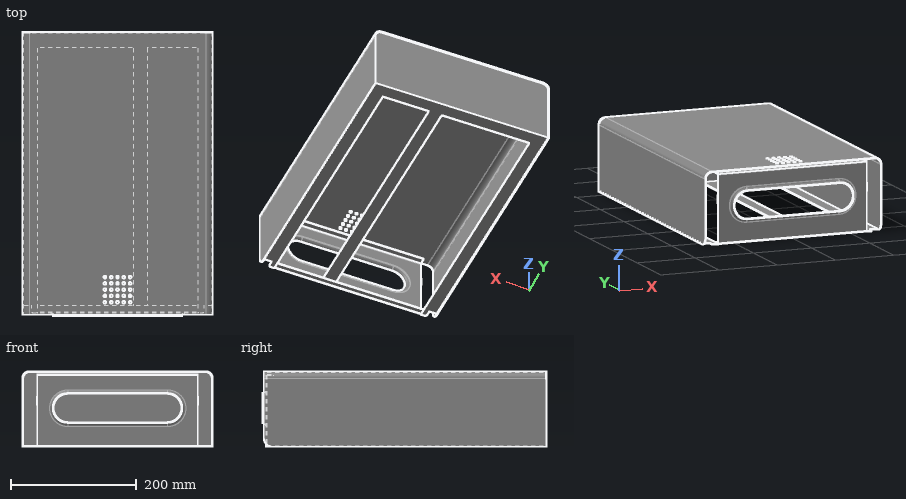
import cadquery as cq


sheet = 1.6
width = 303.2
depth = 450.0
height = 120.5
inner_bend = 10.0
outer_bend = inner_bend + sheet
floor_lip = 24.0
opening_width = width - 2 * floor_lip
wall_corner_radius = 14.0

finger_width = 10.0
finger_root = 15.0
finger_radius = 4.0

strip_left = 25.0
strip_right = 47.5

grille_count = 5
grille_pitch = 10.0
grille_hole = 4.0
grille_center_y = 40.0

slot_center_z = 61.85
slot_half_straight = 79.3
slot_half_height = 22.3
flare_back_radius = 6.8
flare_front_radius = flare_back_radius - sheet
flare_base_radius = slot_half_height + flare_back_radius
rim_overhang = 1.98

panel_front = flare_front_radius - rim_overhang
panel_top = 115.6
panel_bend = 2.0
panel_return = 12.0
panel_rear = panel_front + panel_return
tab_height = 12.8
tab_center_z = 73.2
tab_reach = 0.8
tab_setback = sheet / 2


def box(x0, x1, y0, y1, z0, z1):
    """A block given by its limits along X, Y and Z."""
    return cq.Workplane("XY").box(x1 - x0, y1 - y0, z1 - z0, centered=False).translate((x0, y0, z0))


def arched_block(block_width, top, bend, y0, y1):
    """A block along Y with its two long top edges rounded."""
    half = block_width / 2
    return box(-half, half, y0, y1, 0, top).edges("|Y and >Z").fillet(bend)


def lip_corner_trim():
    """Everything in front of the side lips and outside their rounded front fingers."""
    inner_half = width / 2 - sheet
    finger_half_span = opening_width / 2 + finger_width
    strip = box(-inner_half, inner_half, 0, finger_root, 0, sheet)
    kept = box(-finger_half_span, finger_half_span, panel_front, depth, 0, sheet)
    return strip.cut(kept.edges("|Z and <Y").fillet(finger_radius))


def wall_corner_trim():
    """Everything outside the rounded lower front corners of the side walls."""
    half = width / 2
    block = box(-half, half, 0, wall_corner_radius, 0, wall_corner_radius)
    kept = box(-half, half, 0, depth, 0, height).edges("|X and <Y and <Z").fillet(wall_corner_radius)
    between_walls = box(sheet - half, half - sheet, 0, depth, 0, height)
    return block.cut(kept).cut(between_walls)


def build_housing():
    half_opening = opening_width / 2
    shell = arched_block(width, height, outer_bend, 0, depth)
    cavity = arched_block(width - 2 * sheet, height - sheet, inner_bend, 0, depth - sheet)
    shell = shell.cut(cavity.intersect(box(-width, width, 0, depth, sheet, height)))
    shell = shell.cut(box(-half_opening, half_opening, 0, depth - floor_lip, 0, sheet))
    shell = shell.cut(lip_corner_trim()).cut(wall_corner_trim())
    shell = shell.union(box(strip_left, strip_right, panel_rear, depth - floor_lip, 0, sheet))

    holes = (
        cq.Workplane("XY", origin=(0, grille_center_y, height - sheet))
        .rarray(grille_pitch, grille_pitch, grille_count, grille_count)
        .circle(grille_hole / 2)
        .extrude(sheet)
    )
    return shell.cut(holes)


def flare_profile(plane):
    """Quarter-ring section of the slot rim: local x is outward from the slot axis, local y is +Y."""
    diagonal = 0.5 ** 0.5
    center_x = flare_base_radius
    center_y = panel_front - flare_front_radius

    def rim_point(radius, inward, back):
        return center_x - radius * inward, center_y + radius * back

    return (
        cq.Workplane(plane)
        .moveTo(*rim_point(flare_back_radius, 1, 0))
        .threePointArc(rim_point(flare_back_radius, diagonal, diagonal), rim_point(flare_back_radius, 0, 1))
        .lineTo(*rim_point(flare_front_radius, 0, 1))
        .threePointArc(rim_point(flare_front_radius, diagonal, diagonal), rim_point(flare_front_radius, 1, 0))
        .close()
    )


def build_slot_rim():
    """The flare swept round the slot: two straight runs and two half-round ends."""
    rim = None
    for side in (-1, 1):
        end_plane = cq.Plane(
            origin=(side * slot_half_straight, 0, slot_center_z), xDir=(0, 0, 1), normal=(-1, 0, 0)
        )
        end = flare_profile(end_plane).revolve(180, (0, 0, 0), (0, side, 0))
        run_plane = cq.Plane(
            origin=(side * slot_half_straight, 0, slot_center_z), xDir=(0, 0, side), normal=(-side, 0, 0)
        )
        run = flare_profile(run_plane).extrude(2 * slot_half_straight)
        rim = end.union(run) if rim is None else rim.union(end).union(run)
    return rim


def build_panel():
    half = opening_width / 2
    panel = box(-half, half, panel_front, panel_rear, 0, panel_top).edges("|X and <Y").fillet(panel_bend)
    inside = box(-half, half, panel_front + sheet, panel_rear, sheet, panel_top - sheet)
    panel = panel.cut(inside)

    tab_bottom = tab_center_z - tab_height / 2
    tabs = box(
        -half - tab_reach,
        half + tab_reach,
        panel_front + tab_setback,
        panel_front + sheet,
        tab_bottom,
        tab_bottom + tab_height,
    )
    panel = panel.union(tabs)

    slot_length = 2 * (slot_half_straight + flare_base_radius)
    slot = (
        cq.Workplane("XZ", origin=(0, panel_front + sheet, slot_center_z))
        .slot2D(slot_length, 2 * flare_base_radius)
        .extrude(sheet)
    )
    return panel.cut(slot).union(build_slot_rim())


housing = build_housing()
panel = build_panel()
result = cq.Compound.makeCompound([*housing.solids().vals(), *panel.solids().vals()])